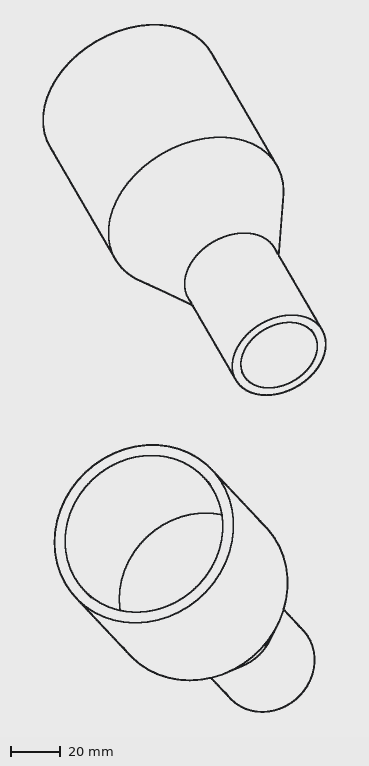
import cadquery as cq

total_length = 172.0
large_length = 75.9
cone_length = 41.0
large_outer_diameter = 75.0
large_inner_diameter = 66.0
small_outer_diameter = 40.0
small_inner_diameter = 32.7

large_end = -total_length / 2
cone_start = large_end + large_length
cone_end = cone_start + cone_length
small_end = total_length / 2


def reducer_solid(large_diameter, small_diameter):
    """Revolve a cylinder, cone and cylinder profile about the X axis."""
    large_radius = large_diameter / 2
    small_radius = small_diameter / 2
    profile = (
        cq.Workplane("XY")
        .moveTo(large_end, 0)
        .lineTo(large_end, large_radius)
        .lineTo(cone_start, large_radius)
        .lineTo(cone_end, small_radius)
        .lineTo(small_end, small_radius)
        .lineTo(small_end, 0)
        .close()
    )
    return profile.revolve(360, (0, 0, 0), (1, 0, 0))


body = reducer_solid(large_outer_diameter, small_outer_diameter)
bore = reducer_solid(large_inner_diameter, small_inner_diameter)
result = body.cut(bore)